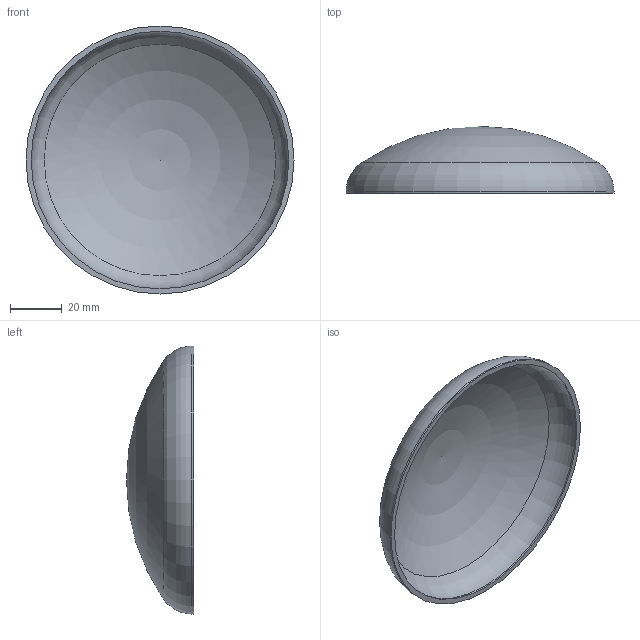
import cadquery as cq
import math

OUTER_DIAMETER = 104.0
TOTAL_HEIGHT = 26.0
WALL = 2.0
CROWN_INNER_RADIUS = 80.0
KNUCKLE_INNER_RADIUS = 11.5

OUTER_RADIUS = OUTER_DIAMETER / 2
INNER_RADIUS = OUTER_RADIUS - WALL
CROWN_OUTER_RADIUS = CROWN_INNER_RADIUS + WALL
KNUCKLE_OUTER_RADIUS = KNUCKLE_INNER_RADIUS + WALL

KNUCKLE_CENTER_X = INNER_RADIUS - KNUCKLE_INNER_RADIUS
CENTER_DISTANCE = CROWN_INNER_RADIUS - KNUCKLE_INNER_RADIUS
JOINT_ANGLE = math.asin(KNUCKLE_CENTER_X / CENTER_DISTANCE)

CROWN_CENTER_Y = TOTAL_HEIGHT - CROWN_OUTER_RADIUS
RIM_HEIGHT = CROWN_CENTER_Y + CENTER_DISTANCE * math.cos(JOINT_ANGLE)


def crown_point(radius, angle):
    """Point on a crown arc at an angle from the axis."""
    return (radius * math.sin(angle), CROWN_CENTER_Y + radius * math.cos(angle))


def knuckle_point(radius, angle):
    """Point on a knuckle arc at an angle from the axis direction."""
    return (KNUCKLE_CENTER_X + radius * math.sin(angle), RIM_HEIGHT + radius * math.cos(angle))


def wall_profile():
    """Half section of the wall, from the rim up the outside and back down the inside."""
    crown_middle = JOINT_ANGLE / 2
    knuckle_middle = (JOINT_ANGLE + math.pi / 2) / 2
    return (
        cq.Workplane("XY")
        .moveTo(OUTER_RADIUS, 0)
        .lineTo(OUTER_RADIUS, RIM_HEIGHT)
        .threePointArc(
            knuckle_point(KNUCKLE_OUTER_RADIUS, knuckle_middle),
            crown_point(CROWN_OUTER_RADIUS, JOINT_ANGLE),
        )
        .threePointArc(
            crown_point(CROWN_OUTER_RADIUS, crown_middle),
            crown_point(CROWN_OUTER_RADIUS, 0),
        )
        .lineTo(*crown_point(CROWN_INNER_RADIUS, 0))
        .threePointArc(
            crown_point(CROWN_INNER_RADIUS, crown_middle),
            crown_point(CROWN_INNER_RADIUS, JOINT_ANGLE),
        )
        .threePointArc(
            knuckle_point(KNUCKLE_INNER_RADIUS, knuckle_middle),
            (INNER_RADIUS, RIM_HEIGHT),
        )
        .lineTo(INNER_RADIUS, 0)
        .close()
    )


result = wall_profile().revolve(360, (0, 0, 0), (0, 1, 0))